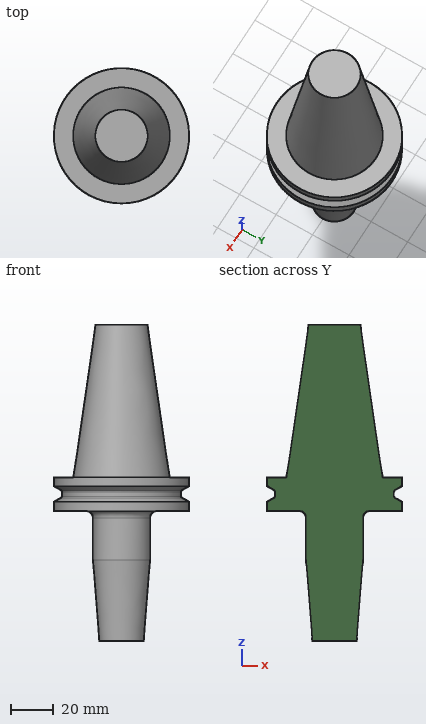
import cadquery as cq
import math


TAPER_RATIO = 7 / 24
GAUGE_DIAMETER = 44.45
TAPER_LENGTH = 68.4

FLANGE_DIAMETER = 63.55
FLANGE_TOP_Z = -3.2
FLANGE_BOTTOM_Z = -19.1
GROOVE_FLOOR_DIAMETER = 56.0
GROOVE_CENTER_Z = -11.0
GROOVE_FLOOR_WIDTH = 3.0
GROOVE_FLANK_ANGLE = 30.0
GROOVE_FILLET_RADIUS = 0.7

NOSE_END_Z = -80.0
NOSE_DIAMETER = 27.0
NOSE_END_DIAMETER = 21.0
NOSE_CONE_ANGLE = 4.5
NOSE_FILLET_RADIUS = 3.0


def taper_radius(z):
    """Radius of the steep taper at height z."""
    return (GAUGE_DIAMETER - TAPER_RATIO * z) / 2


def make_holder():
    """Revolve the half outline, drawn on the -Y side, around the Z axis."""
    flange_radius = FLANGE_DIAMETER / 2
    floor_radius = GROOVE_FLOOR_DIAMETER / 2
    floor_half_width = GROOVE_FLOOR_WIDTH / 2
    flank_height = (flange_radius - floor_radius) * math.tan(math.radians(GROOVE_FLANK_ANGLE))
    mouth_half_width = floor_half_width + flank_height

    nose_radius = NOSE_DIAMETER / 2
    nose_end_radius = NOSE_END_DIAMETER / 2
    cone_length = (nose_radius - nose_end_radius) / math.tan(math.radians(NOSE_CONE_ANGLE))
    fillet_mid_offset = NOSE_FILLET_RADIUS * (1 - math.sqrt(0.5))

    outline = (
        cq.Workplane("YZ")
        .moveTo(0, TAPER_LENGTH)
        .lineTo(-taper_radius(TAPER_LENGTH), TAPER_LENGTH)
        .lineTo(-taper_radius(FLANGE_TOP_Z), FLANGE_TOP_Z)
        .lineTo(-flange_radius, FLANGE_TOP_Z)
        .lineTo(-flange_radius, GROOVE_CENTER_Z + mouth_half_width)
        .lineTo(-floor_radius, GROOVE_CENTER_Z + floor_half_width)
        .lineTo(-floor_radius, GROOVE_CENTER_Z - floor_half_width)
        .lineTo(-flange_radius, GROOVE_CENTER_Z - mouth_half_width)
        .lineTo(-flange_radius, FLANGE_BOTTOM_Z)
        .lineTo(-nose_radius - NOSE_FILLET_RADIUS, FLANGE_BOTTOM_Z)
        .threePointArc(
            (-nose_radius - fillet_mid_offset, FLANGE_BOTTOM_Z - fillet_mid_offset),
            (-nose_radius, FLANGE_BOTTOM_Z - NOSE_FILLET_RADIUS),
        )
        .lineTo(-nose_radius, NOSE_END_Z + cone_length)
        .lineTo(-nose_end_radius, NOSE_END_Z)
        .lineTo(0, NOSE_END_Z)
        .close()
    )
    return outline.revolve(360, (0, 0, 0), (0, 1, 0))


def round_groove_corners(holder):
    """Fillet the two circular edges where the groove floor meets its flanks."""
    groove_corners = cq.selectors.BoxSelector(
        (-FLANGE_DIAMETER, -FLANGE_DIAMETER, GROOVE_CENTER_Z - GROOVE_FLOOR_WIDTH),
        (FLANGE_DIAMETER, FLANGE_DIAMETER, GROOVE_CENTER_Z + GROOVE_FLOOR_WIDTH),
    )
    return holder.edges("%CIRCLE").edges(groove_corners).fillet(GROOVE_FILLET_RADIUS)


result = round_groove_corners(make_holder())